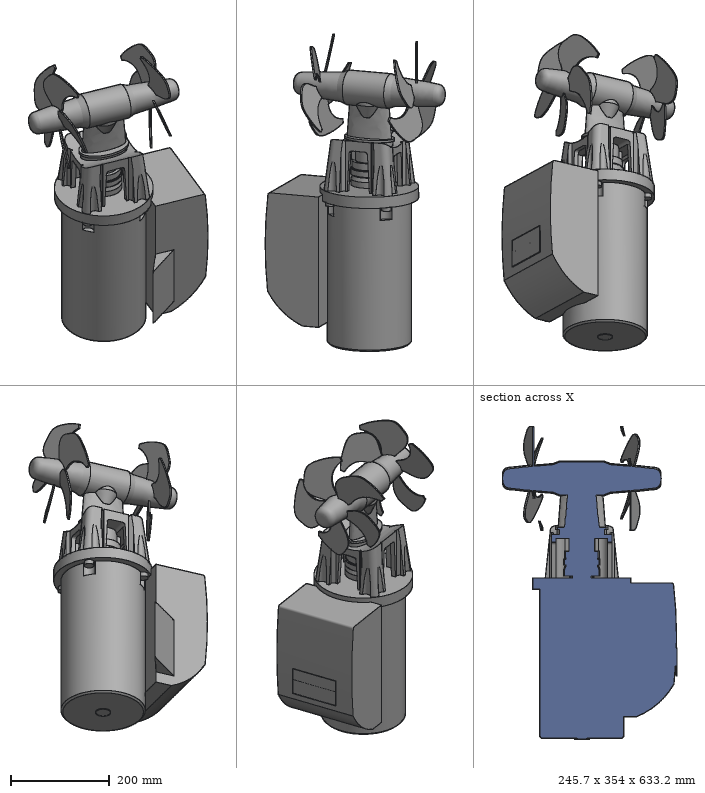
import cadquery as cq
import math

pad_diameter = 30.5
pad_height = 2.0
body_diameter = 171.0
body_edge_chamfer = 4.0
flange_diameter = 200.0
flange_bottom = 303.0
flange_top = 326.5

bolt_circle_radius = 86.0
bolt_head_diameter = 19.5
bolt_head_height = 9.0
pocket_diameter = 25.5
pocket_bottom = 274.0

box_half_width = 88.5
box_front = 76.0
box_bottom = 45.5
box_top = 316.5
box_rear = 192.0
box_top_rear = 185.5
box_edge_radius = 5.0
box_lower_corner_y = 187.0
box_lower_corner_z = 112.0
box_chin_y = 111.0
box_chin_middle = (152.0, 70.0)
box_crown_z = 221.5

plate_width = 101.0
plate_height = 57.0
plate_bottom = 128.0
plate_rear = 193.0
plate_thickness = 2.5

fin_tip = (144.5, 47.0)
fin_rear_y = 116.5
fin_bottom = 69.0
fin_top = 197.5
fin_corner_radius = 5.0

cowl_half_base = 74.0
cowl_height = 120.0
cowl_taper = 6.0
cowl_corner_radius = 14.0
panel_half_width = 28.0
panel_face = 61.5
recess_half_width = 36.0
recess_edge_face = 66.0
recess_corner_face = 57.0
cavity_half_width = 52.0
cavity_height = 80.0
cavity_corner_radius = 12.5
window_half_base = 24.0
window_half_top = 19.5
front_window_height = 72.0
side_window_height = 85.0
window_corner_radius = 6.5
leg_groove_diameter = 19.5
leg_groove_along = 52.0
leg_groove_out = 77.0
saddle_radius = 114.0

stack_neck_radius = 22.0
stack_ring_radius = 37.5
stack_collar_radius = 35.5
stack_groove_radius = 34.0
stack_core_radius = 28.5
stack_ring_bottom = 330.5
stack_cone_bottom = 342.5
stack_cone_top = 350.5
stack_groove = 2.0
stack_ring_top = 364.5
stack_collar_top = 381.0
stack_key_width = 21.5
stack_overlap = 2.0

pod_axis_z = 528.0
pod_radius = 35.5
pod_middle_half_length = 45.0
pod_shoulder_radius = 30.5
pod_shoulder_y = 58.0
hub_joint_radius = 26.0
hub_joint_y = 117.0
nose_radius = 23.0
nose_y = 147.5
nose_round_radius = 18.0
nose_round_y = 157.5
nose_face_radius = 7.5
pod_half_length = 161.0

strut_bottom = 411.5
strut_top = 509.5
strut_base_half_axes = (17.0, 49.5)
strut_top_half_axes = (14.5, 42.0)
collar_half_axes = (31.0, 53.0)
collar_top = 429.0
collar_lip_bottom = 424.0
collar_step = 3.0
fairing_tip_radius = 16.5
fairing_tip_z = 472.0
fairing_root_radius = 28.5
fairing_root_z = 499.0

blade_count = 5
blade_root_left = (-7.5, 19.0)
blade_leading_edge = [(-13.0, 28.0), (-32.0, 52.0), (-34.0, 70.0), (-25.0, 88.0), (-11.0, 102.5),
                      (18.5, 103.0), (42.0, 96.0), (57.0, 88.5)]
blade_hook = (56.0, 80.0)
blade_trailing_edge = [(38.5, 75.0), (24.0, 62.5), (16.5, 47.0), (14.5, 30.0)]
blade_root_right = (11.5, 19.0)
blade_thickness = 3.0
blade_slope = 0.39
blade_y = -102.5
blade_slab_size = 253.0


def cylinder(diameter, bottom, top):
    return cq.Workplane("XY").workplane(offset=bottom).circle(diameter / 2).extrude(top - bottom)


def four_corners(offset):
    return [(sx * offset, sy * offset) for sx in (-1, 1) for sy in (-1, 1)]


def make_housing():
    body = cylinder(body_diameter, pad_height, flange_bottom).faces("<Z").chamfer(body_edge_chamfer)
    pad = cylinder(pad_diameter, 0, body_edge_chamfer)
    flange = cylinder(flange_diameter, flange_bottom, flange_top)
    bolts_at = four_corners(bolt_circle_radius / math.sqrt(2))
    pockets = (cq.Workplane("XY").workplane(offset=pocket_bottom).pushPoints(bolts_at)
               .circle(pocket_diameter / 2).extrude(flange_bottom - pocket_bottom))
    heads = (cq.Workplane("XY").workplane(offset=flange_bottom - bolt_head_height).pushPoints(bolts_at)
             .circle(bolt_head_diameter / 2).extrude(bolt_head_height))
    return body.union(pad).cut(pockets).union(flange).union(heads)


def make_controller_box():
    profile = (cq.Workplane("YZ").workplane(offset=-box_half_width)
               .moveTo(box_front, box_bottom)
               .lineTo(box_front, box_top)
               .lineTo(box_top_rear, box_top)
               .threePointArc((box_rear, box_crown_z), (box_lower_corner_y, box_lower_corner_z))
               .threePointArc(box_chin_middle, (box_chin_y, box_bottom))
               .close())
    box = profile.extrude(2 * box_half_width)
    box = box.faces(">Z").edges("|X").edges(">Y").fillet(box_edge_radius)
    housing_core = cylinder(body_diameter, pad_height + body_edge_chamfer, flange_bottom)
    plate = cq.Workplane("XY").box(plate_width, plate_thickness, plate_height, centered=(True, False, False))
    plate = plate.translate((0, plate_rear - plate_thickness, plate_bottom))
    fin = (cq.Workplane("XY").workplane(offset=fin_bottom)
           .polyline([(box_half_width, box_front), fin_tip, (box_half_width, fin_rear_y)]).close()
           .extrude(fin_top - fin_bottom))
    fin_outline = (cq.Workplane("XZ").workplane(offset=-fin_rear_y).moveTo(0, fin_bottom)
                   .lineTo(fin_tip[0], fin_bottom)
                   .lineTo(fin_tip[0], fin_top)
                   .lineTo(0, fin_top)
                   .close().extrude(fin_rear_y))
    fin = fin.intersect(fin_outline.edges("|Y").edges(">X").fillet(fin_corner_radius))
    return box.cut(housing_core).union(plate).union(fin)


def make_window(height):
    window = (cq.Workplane("XZ").workplane(offset=-cowl_half_base)
              .moveTo(-window_half_base, flange_top)
              .lineTo(-window_half_top, flange_top + height)
              .lineTo(window_half_top, flange_top + height)
              .lineTo(window_half_base, flange_top)
              .close().extrude(2 * cowl_half_base))
    return window.edges("|Y").edges(">Z").fillet(window_corner_radius)


def make_cowl():
    base = cq.Workplane("XY").workplane(offset=flange_top)
    cowl = base.rect(2 * cowl_half_base, 2 * cowl_half_base).extrude(cowl_height, taper=cowl_taper)
    cowl = cowl.edges("not(|X or |Y)").fillet(cowl_corner_radius)

    cavity = base.rect(2 * cavity_half_width, 2 * cavity_half_width).extrude(cavity_height)
    cowl = cowl.cut(cavity.edges("|Z").fillet(cavity_corner_radius))

    cowl = cowl.cut(make_window(front_window_height))
    cowl = cowl.cut(make_window(side_window_height).rotate((0, 0, 0), (0, 0, 1), 90))

    recess = (base.moveTo(0, -panel_face)
              .lineTo(panel_half_width, -panel_face)
              .lineTo(panel_half_width, -recess_corner_face)
              .lineTo(recess_half_width, -recess_edge_face)
              .lineTo(recess_half_width, -cowl_half_base)
              .lineTo(0, -cowl_half_base)
              .close().extrude(cowl_height))
    recess = recess.union(recess.mirror("YZ"))
    grooves = (base.pushPoints([(s * leg_groove_along, -leg_groove_out) for s in (-1, 1)])
               .circle(leg_groove_diameter / 2).extrude(cowl_height))
    for quarter in range(4):
        cutter = recess.union(grooves).rotate((0, 0, 0), (0, 0, 1), 90 * quarter)
        cowl = cowl.cut(cutter)

    saddle = (cq.Workplane("XZ").workplane(offset=-cowl_half_base).center(0, pod_axis_z)
              .circle(saddle_radius).extrude(2 * cowl_half_base))
    return cowl.cut(saddle)


def make_bearing_stack():
    ceiling = flange_top + side_window_height + stack_overlap
    stack = (cq.Workplane("XZ").moveTo(0, flange_top)
             .lineTo(stack_neck_radius, flange_top)
             .lineTo(stack_neck_radius, stack_ring_bottom)
             .lineTo(stack_ring_radius, stack_ring_bottom)
             .lineTo(stack_ring_radius, stack_cone_bottom)
             .lineTo(stack_groove_radius, stack_cone_top)
             .lineTo(stack_groove_radius, stack_cone_top + stack_groove)
             .lineTo(stack_ring_radius, stack_cone_top + stack_groove)
             .lineTo(stack_ring_radius, stack_ring_top)
             .lineTo(stack_groove_radius, stack_ring_top)
             .lineTo(stack_groove_radius, stack_ring_top + stack_groove)
             .lineTo(stack_collar_radius, stack_ring_top + stack_groove)
             .lineTo(stack_collar_radius, stack_collar_top)
             .lineTo(stack_core_radius, stack_collar_top)
             .lineTo(stack_core_radius, ceiling)
             .lineTo(0, ceiling)
             .close().revolve(360, (0, 0), (0, 1)))
    key = (cq.Workplane("XY").workplane(offset=stack_collar_top)
           .rect(stack_key_width, 2 * stack_groove_radius).extrude(ceiling - stack_collar_top))
    return stack.union(key)


def make_strut():
    strut = (cq.Workplane("XY").workplane(offset=strut_bottom).ellipse(*strut_base_half_axes)
             .workplane(offset=strut_top - strut_bottom).ellipse(*strut_top_half_axes).loft())
    lip = (cq.Workplane("XY").workplane(offset=collar_lip_bottom).ellipse(*collar_half_axes)
           .extrude(collar_top - collar_lip_bottom))
    seat = (cq.Workplane("XY").workplane(offset=strut_bottom)
            .ellipse(*[axis - collar_step for axis in collar_half_axes])
            .extrude(collar_lip_bottom - strut_bottom))
    fairing = (cq.Workplane("XZ").moveTo(0, fairing_tip_z)
               .lineTo(fairing_tip_radius, fairing_tip_z)
               .lineTo(fairing_root_radius, fairing_root_z)
               .lineTo(fairing_root_radius, strut_top)
               .lineTo(0, strut_top)
               .close().revolve(360, (0, 0), (0, 1)))
    return strut.union(lip).union(seat).union(fairing)


def make_pod():
    profile = (cq.Workplane("XY").moveTo(0, -pod_half_length)
               .lineTo(nose_face_radius, -pod_half_length)
               .threePointArc((nose_round_radius, -nose_round_y), (nose_radius, -nose_y))
               .lineTo(hub_joint_radius, -hub_joint_y)
               .lineTo(pod_shoulder_radius, -pod_shoulder_y)
               .lineTo(pod_radius, -pod_middle_half_length)
               .lineTo(pod_radius, pod_middle_half_length)
               .lineTo(pod_shoulder_radius, pod_shoulder_y)
               .lineTo(hub_joint_radius, hub_joint_y)
               .lineTo(nose_radius, nose_y)
               .threePointArc((nose_round_radius, nose_round_y), (nose_face_radius, pod_half_length))
               .lineTo(0, pod_half_length)
               .close())
    return profile.revolve(360, (0, 0), (0, 1)).translate((0, 0, pod_axis_z))


def make_propeller():
    outline = (cq.Workplane("XZ").moveTo(*blade_root_left)
               .spline(blade_leading_edge, includeCurrent=True)
               .lineTo(*blade_hook)
               .spline(blade_trailing_edge, includeCurrent=True)
               .lineTo(*blade_root_right)
               .close().extrude(blade_slab_size / 2, both=True))
    slab = cq.Workplane("XY").box(blade_slab_size, blade_thickness, blade_slab_size)
    slab = slab.rotate((0, 0, 0), (0, 0, 1), math.degrees(math.atan(blade_slope)))
    blade = outline.intersect(slab)
    propeller = blade
    for index in range(1, blade_count):
        propeller = propeller.union(blade.rotate((0, 0, 0), (0, 1, 0), index * 360 / blade_count))
    return propeller.translate((0, blade_y, pod_axis_z))


front_propeller = make_propeller()
rear_propeller = front_propeller.rotate((0, 0, pod_axis_z), (1, 0, pod_axis_z), 180)

result = (make_housing()
          .union(make_controller_box())
          .union(make_cowl())
          .union(make_bearing_stack())
          .union(make_strut())
          .union(make_pod())
          .union(front_propeller)
          .union(rear_propeller))